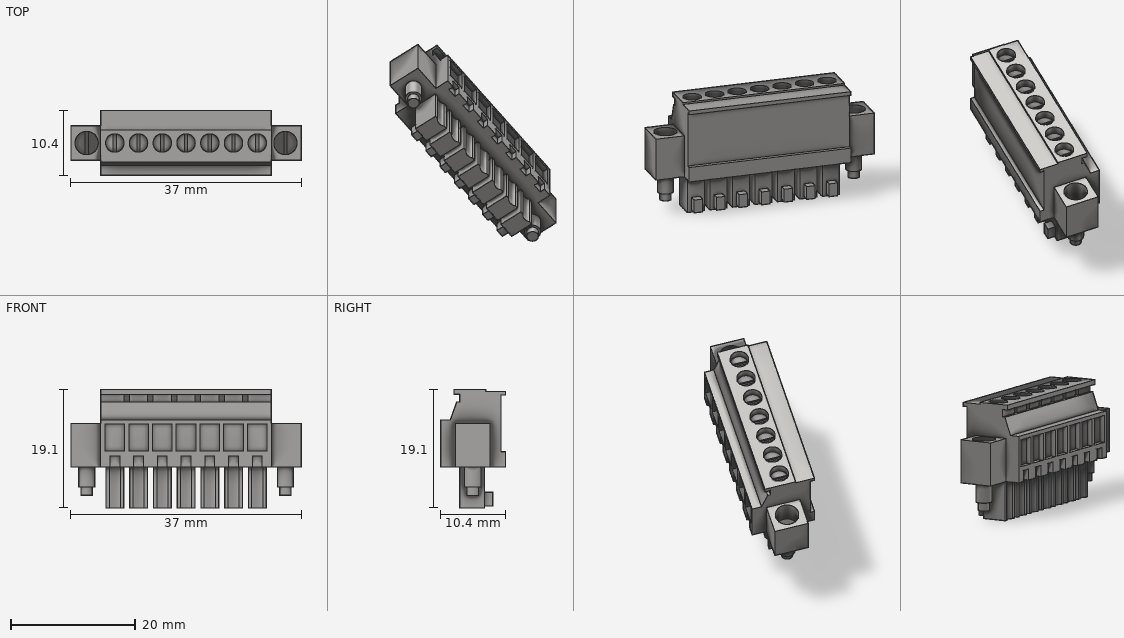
import cadquery as cq


EPS = 0.05

TOTAL_LENGTH = 37.05
BLOCK_LENGTH = 27.42
FRONT_Y = -5.2
BACK_Y = 5.25
BACK_WALL_Y = 4.55
FOOT_TOP_Z = 2.5
BACK_LIP_BOTTOM_Z = 11.55
BACK_LIP_TOP_Z = 12.2
TOP_STEP_Y = 2.1
TOP_Z = 12.5
FRONT_LIP_Y = -3.05
FRONT_LIP_BOTTOM_Z = 11.7
GROOVE_Y = -2.1
GROOVE_FLOOR_Z = 10.5
SLOPE_TOP_Y = -2.6
SLOPE_BOTTOM_Y = -3.65
SHELF_Z = 7.6

POLE_COUNT = 7
PITCH = 3.8
POLE_XS = [(i - (POLE_COUNT - 1) / 2) * PITCH for i in range(POLE_COUNT)]
MID_POLE_XS = [x + PITCH / 2 for x in POLE_XS[:-1]]

WINDOW_WIDTH = 3.15
WINDOW_BOTTOM_Z = 2.55
WINDOW_TOP_Z = 6.93
FRONT_RECESS_DEPTH = 0.85
NOTCH_WIDTH = 1.6
NOTCH_HEIGHT = 1.78
GROOVE_SLOT_WIDTH = 0.9
GROOVE_SLOT_DEPTH = 0.75

LEG_WIDTH = 2.9
LEG_BOTTOM_Z = -6.6
LEG_FRONT_Y = GROOVE_Y
LEG_BACK_Y = 1.9
FLUTE_WIDTH = 1.78
FLUTE_DEPTH = 0.37
NUB_WIDTH = LEG_WIDTH / 2
NUB_BACK_Y = 3.22
NUB_BOTTOM_Z = -6.25
NUB_TOP_Z = -4.05

FLANGE_LENGTH = (TOTAL_LENGTH - BLOCK_LENGTH) / 2
FLANGE_DEPTH = 5.6
FLANGE_HEIGHT = 7.05

CLAMP_DIAMETER = 2.95
CLAMP_SINK = 1.5
CLAMP_TOP_Z = TOP_Z - CLAMP_SINK
CLAMP_LENGTH = 3.7
CLAMP_BOTTOM_Z = CLAMP_TOP_Z - CLAMP_LENGTH

SLOT_WIDTH = 0.52
SLOT_DEPTH = 0.37

FLANGE_SCREW_X = 15.97
FLANGE_SCREW_XS = [-FLANGE_SCREW_X, FLANGE_SCREW_X]
HEAD_DIAMETER = 3.75
HEAD_BOTTOM_Z = 1.5
HEAD_TOP_Z = 2.95
SHANK_DIAMETER = 2.6
SHANK_BOTTOM_Z = -3.22
TIP_DIAMETER = 1.85
TIP_BOTTOM_Z = -4.55


def box(x_center, width, y_range, z_range):
    """Box centered on x_center that fills the given Y and Z ranges."""
    y_min, y_max = y_range
    z_min, z_max = z_range
    corner = cq.Vector(x_center - width / 2, y_min, z_min)
    return cq.Workplane(cq.Solid.makeBox(width, y_max - y_min, z_max - z_min, corner))


def cylinder(x, diameter, z_min, z_max):
    """Upright cylinder on the screw axis at the given X."""
    return cq.Workplane(cq.Solid.makeCylinder(diameter / 2, z_max - z_min, cq.Vector(x, 0, z_min)))


def make_block():
    """Main block: side outline extruded along X."""
    outline = [
        (FRONT_Y, 0),
        (BACK_Y, 0),
        (BACK_Y, FOOT_TOP_Z),
        (BACK_WALL_Y, FOOT_TOP_Z),
        (BACK_WALL_Y, BACK_LIP_BOTTOM_Z),
        (BACK_Y, BACK_LIP_BOTTOM_Z),
        (BACK_Y, BACK_LIP_TOP_Z),
        (TOP_STEP_Y, BACK_LIP_TOP_Z),
        (TOP_STEP_Y, TOP_Z),
        (FRONT_LIP_Y, TOP_Z),
        (FRONT_LIP_Y, FRONT_LIP_BOTTOM_Z),
        (GROOVE_Y, FRONT_LIP_BOTTOM_Z),
        (GROOVE_Y, GROOVE_FLOOR_Z),
        (SLOPE_TOP_Y, GROOVE_FLOOR_Z),
        (SLOPE_BOTTOM_Y, SHELF_Z),
        (FRONT_Y, SHELF_Z),
    ]
    return cq.Workplane("YZ").polyline(outline).close().extrude(BLOCK_LENGTH / 2, both=True)


def make_flange(side):
    """Flange block at one end; side is -1 or 1."""
    x_center = side * (BLOCK_LENGTH + FLANGE_LENGTH) / 2
    half_depth = FLANGE_DEPTH / 2
    return box(x_center, FLANGE_LENGTH, (-half_depth, half_depth), (0, FLANGE_HEIGHT))


def make_leg(x):
    """Plug leg with a hollow flute down its front and a latch nub on its back."""
    half_width = LEG_WIDTH / 2
    half_flute = FLUTE_WIDTH / 2
    leg = (
        cq.Workplane("XY")
        .workplane(offset=LEG_BOTTOM_Z)
        .moveTo(x - half_width, LEG_FRONT_Y)
        .lineTo(x - half_flute, LEG_FRONT_Y)
        .threePointArc((x, LEG_FRONT_Y + FLUTE_DEPTH), (x + half_flute, LEG_FRONT_Y))
        .lineTo(x + half_width, LEG_FRONT_Y)
        .lineTo(x + half_width, LEG_BACK_Y)
        .lineTo(x - half_width, LEG_BACK_Y)
        .close()
        .extrude(-LEG_BOTTOM_Z)
    )
    nub = box(x, NUB_WIDTH, (LEG_BACK_Y, NUB_BACK_Y), (NUB_BOTTOM_Z, NUB_TOP_Z))
    return leg.union(nub)


def cut_pole(housing, x):
    """Wire window, bottom notch and clamp screw hole of one pole."""
    recess_y = (FRONT_Y - EPS, FRONT_Y + FRONT_RECESS_DEPTH)
    window = box(x, WINDOW_WIDTH, recess_y, (WINDOW_BOTTOM_Z, WINDOW_TOP_Z))
    notch = box(x, NOTCH_WIDTH, recess_y, (-EPS, NOTCH_HEIGHT))
    screw_hole = cylinder(x, CLAMP_DIAMETER, CLAMP_BOTTOM_Z, TOP_Z + EPS)
    return housing.cut(window).cut(notch).cut(screw_hole)


def cut_groove_slot(housing, x):
    """Slot in the groove wall between two neighboring poles."""
    slot_y = (GROOVE_Y - EPS, GROOVE_Y + GROOVE_SLOT_DEPTH)
    return housing.cut(box(x, GROOVE_SLOT_WIDTH, slot_y, (GROOVE_FLOOR_Z, FRONT_LIP_BOTTOM_Z)))


def cut_flange_hole(housing, x):
    """Head counterbore and shank hole through one flange."""
    counterbore = cylinder(x, HEAD_DIAMETER, HEAD_BOTTOM_Z, FLANGE_HEIGHT + EPS)
    shank_hole = cylinder(x, SHANK_DIAMETER, -EPS, HEAD_BOTTOM_Z)
    return housing.cut(counterbore).cut(shank_hole)


def make_housing():
    housing = make_block()
    for side in (-1, 1):
        housing = housing.union(make_flange(side))
    for x in POLE_XS:
        housing = housing.union(make_leg(x))
        housing = cut_pole(housing, x)
    for x in MID_POLE_XS:
        housing = cut_groove_slot(housing, x)
    for x in FLANGE_SCREW_XS:
        housing = cut_flange_hole(housing, x)
    return housing


def cut_driver_slot(screw, x, diameter, top_z):
    """Screwdriver slot along Y across the whole head."""
    y_range = (-diameter, diameter)
    return screw.cut(box(x, SLOT_WIDTH, y_range, (top_z - SLOT_DEPTH, top_z + EPS)))


def make_clamp_screw(x):
    """Slotted screw at the bottom of the pole's hole."""
    screw = cylinder(x, CLAMP_DIAMETER, CLAMP_BOTTOM_Z, CLAMP_TOP_Z)
    return cut_driver_slot(screw, x, CLAMP_DIAMETER, CLAMP_TOP_Z)


def make_flange_screw(x):
    """Slotted screw with a head, a shank and a thinner tip."""
    head = cylinder(x, HEAD_DIAMETER, HEAD_BOTTOM_Z, HEAD_TOP_Z)
    shank = cylinder(x, SHANK_DIAMETER, SHANK_BOTTOM_Z, HEAD_BOTTOM_Z)
    tip = cylinder(x, TIP_DIAMETER, TIP_BOTTOM_Z, SHANK_BOTTOM_Z)
    return cut_driver_slot(head.union(shank).union(tip), x, HEAD_DIAMETER, HEAD_TOP_Z)


housing = make_housing()
clamp_screws = [make_clamp_screw(x).solids().val() for x in POLE_XS]
flange_screws = [make_flange_screw(x).solids().val() for x in FLANGE_SCREW_XS]

result = cq.Compound.makeCompound([housing.solids().val(), *clamp_screws, *flange_screws])